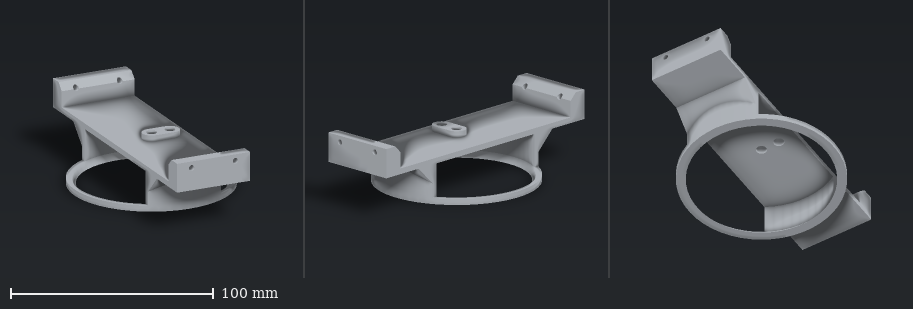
import cadquery as cq

length = 140.0
width = 40.0
height = 35.5
plate_bottom = 20.5
plate_thickness = 3.0
wall_thickness = 10.0
wall_chamfer = 3.6

wall_hole_diameter = 3.0
wall_hole_spacing = 24.1
wall_hole_z = 32.2

pad_width = 10.0
pad_height = 3.2
pad_hole_diameter = 5.5
pad_hole_spacing = 10.1

ring_diameter = 84.5
leg_bore_diameter = 80.0
ring_bottom_bore_diameter = 74.8
ring_height = 3.2
gusset_reach = 47.2

plate_top = plate_bottom + plate_thickness
half_length = length / 2


def make_plate():
    """Plate and chamfered end walls, drawn in XZ and extruded across the width."""
    wall_inner = half_length - wall_thickness
    right_half = [
        (half_length, plate_bottom),
        (half_length, height),
        (wall_inner + wall_chamfer, height),
        (wall_inner, height - wall_chamfer),
        (wall_inner, plate_top),
    ]
    left_half = [(-x, z) for x, z in reversed(right_half)]
    return cq.Workplane("XZ").polyline(right_half + left_half).close().extrude(width / 2, both=True)


def make_ring():
    """Flat ring whose bore narrows towards the bottom."""
    bore = (
        cq.Workplane("XY")
        .circle(ring_bottom_bore_diameter / 2)
        .workplane(offset=ring_height)
        .circle(leg_bore_diameter / 2)
        .loft()
    )
    return cq.Workplane("XY").circle(ring_diameter / 2).extrude(ring_height).cut(bore)


def make_legs():
    """Curved legs as wide as the plate, with sloped gussets under the plate."""
    leg_band = cq.Workplane("XY").box(ring_diameter, width, plate_bottom, centered=(True, True, False))
    legs = cq.Workplane("XY").circle(ring_diameter / 2).extrude(plate_bottom).intersect(leg_band)
    gussets = (
        cq.Workplane("XZ")
        .polyline([
            (-gusset_reach, plate_bottom),
            (gusset_reach, plate_bottom),
            (gusset_reach - plate_bottom, 0),
            (plate_bottom - gusset_reach, 0),
        ])
        .close()
        .extrude(width / 2, both=True)
    )
    bore = cq.Workplane("XY").circle(leg_bore_diameter / 2).extrude(plate_bottom)
    return legs.union(gussets).cut(bore)


def make_pad():
    return (
        cq.Workplane("XY", origin=(0, pad_hole_spacing / 2, plate_top))
        .slot2D(pad_hole_spacing + pad_width, pad_width, 90)
        .extrude(pad_height)
    )


def make_pad_holes():
    return (
        cq.Workplane("XY")
        .pushPoints([(0, 0), (0, pad_hole_spacing)])
        .circle(pad_hole_diameter / 2)
        .extrude(height)
    )


def make_wall_holes():
    """Two holes that run along X through both end walls."""
    return (
        cq.Workplane("YZ")
        .pushPoints([(side * wall_hole_spacing / 2, wall_hole_z) for side in (-1, 1)])
        .circle(wall_hole_diameter / 2)
        .extrude(half_length, both=True)
    )


result = (
    make_plate()
    .union(make_legs())
    .union(make_ring())
    .union(make_pad())
    .cut(make_pad_holes())
    .cut(make_wall_holes())
)